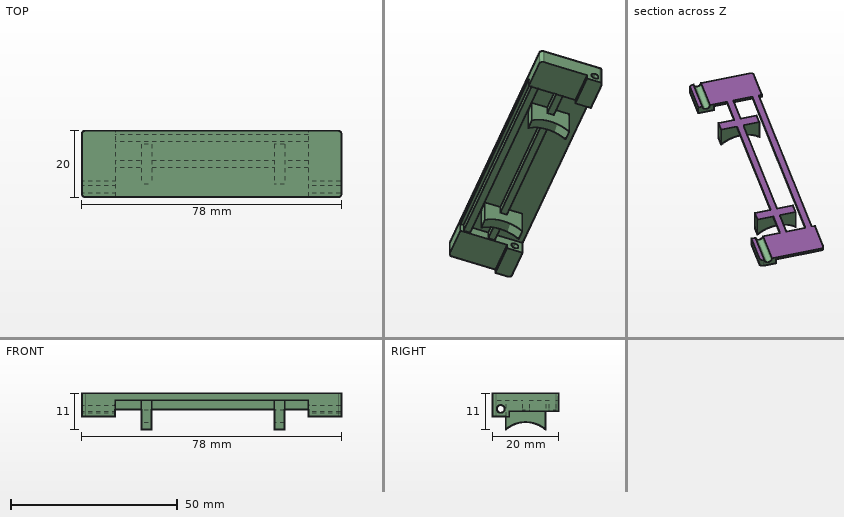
import cadquery as cq

length = 78.0
width = 20.0
plate_thickness = 2.2
corner_radius = 1.0

block_length = 10.0
block_depth = 5.45
lug_width = 5.0
lug_depth = 7.1
pin_hole_diameter = 2.3
pin_hole_y = -7.5
pin_hole_depth = 4.75

rib_width = 2.1
rib_depth = 5.0
back_rib_y = width / 2 - corner_radius - rib_width / 2

total_depth = 11.0
saddle_width = 12.0
saddle_thickness = 3.1
saddle_arch_depth = 8.7
saddle_start = 17.9
saddle_spacing = 39.9


def box_below(x_start, x_end, y_start, y_end, depth):
    """Box from the top face of the plate down to the given depth."""
    return (
        cq.Workplane("XY")
        .box(x_end - x_start, y_end - y_start, depth, centered=False)
        .translate((x_start, y_start, -depth))
    )


def saddle(x_start):
    """Plate across the part whose lower edge is a concave arc."""
    half = saddle_width / 2
    return (
        cq.Workplane("YZ", origin=(x_start, 0, 0))
        .moveTo(-half, -plate_thickness / 2)
        .lineTo(-half, -total_depth)
        .threePointArc((0, -saddle_arch_depth), (half, -total_depth))
        .lineTo(half, -plate_thickness / 2)
        .close()
        .extrude(saddle_thickness)
    )


body = box_below(0, length, -width / 2, width / 2, plate_thickness)
for block_start in (0, length - block_length):
    block_end = block_start + block_length
    body = body.union(box_below(block_start, block_end, -width / 2, width / 2, block_depth))
    body = body.union(box_below(block_start, block_end, -width / 2, -width / 2 + lug_width, lug_depth))

rounded_outline = (
    cq.Workplane("XY")
    .box(length, width, lug_depth, centered=(False, True, False))
    .edges("|Z")
    .fillet(corner_radius)
    .translate((0, 0, -lug_depth))
)
body = body.intersect(rounded_outline)

for rib_y in (0, back_rib_y):
    body = body.union(box_below(0, length, rib_y - rib_width / 2, rib_y + rib_width / 2, rib_depth))

for saddle_x in (saddle_start, saddle_start + saddle_spacing):
    body = body.union(saddle(saddle_x))

pin_hole = (
    cq.Workplane("YZ")
    .center(pin_hole_y, -pin_hole_depth)
    .circle(pin_hole_diameter / 2)
    .extrude(length)
)
result = body.cut(pin_hole)